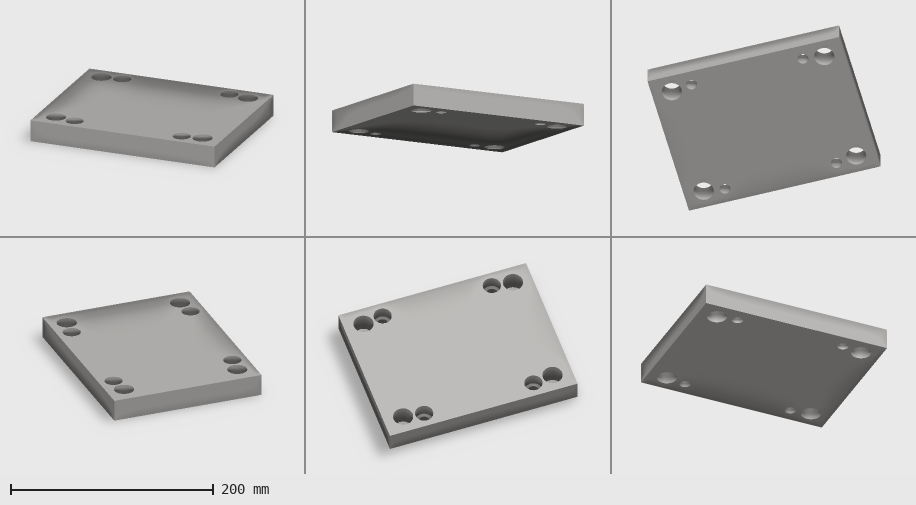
import cadquery as cq

length = 196.0
width = 156.0
thickness = 22.0

corner_hole_diameter = 20.0
corner_hole_x = 78.0
corner_hole_y = 60.0

screw_hole_diameter = 11.0
counterbore_diameter = 18.0
counterbore_depth = 13.0
screw_hole_x = 57.0
screw_hole_y = 63.0


def mirrored_points(x, y):
    """Four positions symmetric about the plate's centre lines."""
    return [(side_x * x, side_y * y) for side_x in (-1, 1) for side_y in (-1, 1)]


plate = cq.Workplane("XY").box(length, width, thickness)

drilled_plate = (
    plate.faces(">Z")
    .workplane()
    .pushPoints(mirrored_points(corner_hole_x, corner_hole_y))
    .hole(corner_hole_diameter)
)

result = (
    drilled_plate.faces(">Z")
    .workplane()
    .pushPoints(mirrored_points(screw_hole_x, screw_hole_y))
    .cboreHole(screw_hole_diameter, counterbore_diameter, counterbore_depth)
)